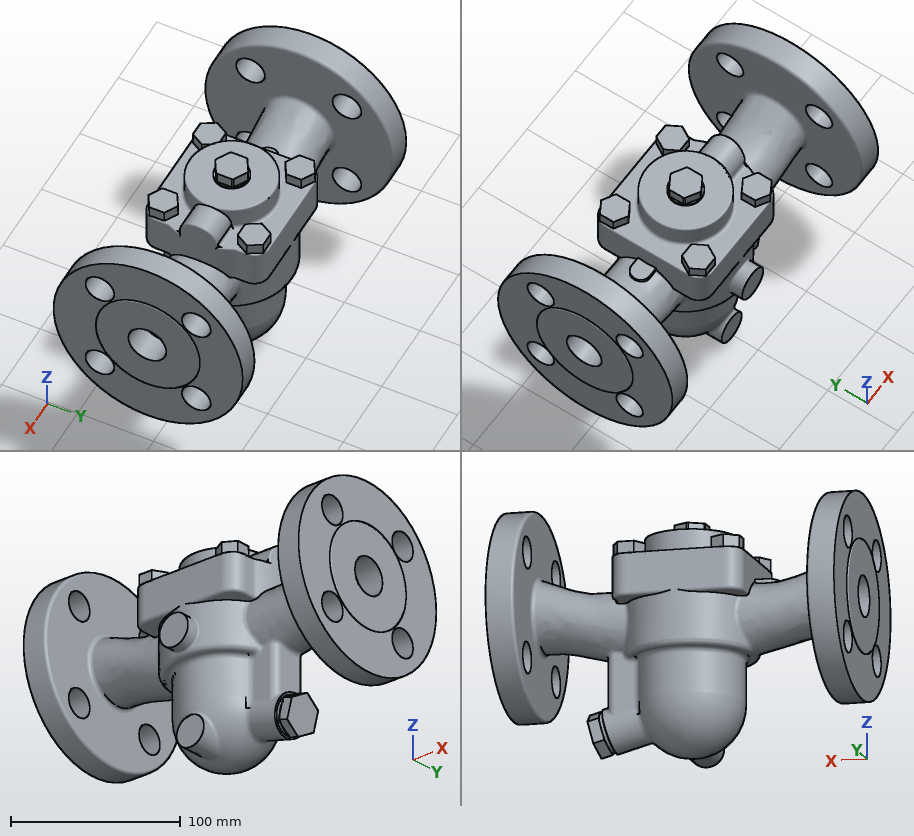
import cadquery as cq
import math


FACE_TO_FACE = 215.0
FLANGE_DIA = 125.0
FLANGE_THICKNESS = 18.0
FLANGE_BACK_FILLET = 2.0
RAISED_FACE_DIA = 68.5
RAISED_FACE_HEIGHT = 1.0
RAISED_FACE_FILLET = 0.5
BOLT_HOLE_COUNT = 4
BOLT_HOLE_DIA = 19.0
BOLT_CIRCLE_DIA = 90.0
FIRST_BOLT_HOLE_ANGLE = 45.0
BORE_DIA = 25.0
BORE_DEPTH = FLANGE_THICKNESS

FLANGE_FACE_X = FACE_TO_FACE / 2
FLANGE_BACK_X = FLANGE_FACE_X - FLANGE_THICKNESS

PIPE_WIDTH = 45.0
PIPE_SECTIONS = [
    (90.0, 22.0, -22.8),
    (74.0, 16.0, -23.0),
    (57.5, 11.5, -26.9),
    (40.0, 11.5, -31.0),
    (25.0, 11.5, -33.0),
]
NECK_FILLET = 2.5
PIPE_BODY_FILLET = 2.8

BODY_X = -2.5
CHAMBER_RADIUS = 40.0
CHAMBER_BOTTOM_Z = -31.5
BOWL_RADIUS = 32.0
BOTTOM_Z = -91.0
BOWL_CENTRE_Z = BOTTOM_Z + BOWL_RADIUS
STEP_EDGE_FILLET = 3.5
STEP_ROOT_FILLET = 3.0

PLATE_SIZE = 2 * CHAMBER_RADIUS
PLATE_CORNER_RADIUS = 10.0
BODY_PLATE_FILLET = 2.0
COVER_TOP_Z = 26.0
COVER_FILLET = 1.0
LOBE_RADIUS = 45.5
LOBE_CORNER_FILLET = 5.0

DOME_DIA = 56.0
DOME_TOP_Z = 41.0
DOME_EDGE_FILLET = 1.0
DOME_ROOT_FILLET = 2.0
PORT_DIA = 25.0
PORT_Z = 28.0
PORT_FILLET = 2.3
PORT_END_FILLET = 1.0

PLUG_WASHER_DIA = 22.0
PLUG_WASHER_TOP_Z = 42.0
PLUG_TOP_Z = 49.0
PLUG_FLATS = 19.0
PLUG_CORNER_DIA = 21.4
COVER_BOLT_OFFSET = 30.0
COVER_BOLT_FLATS = 17.0
COVER_BOLT_TOP_Z = 33.2

UPPER_BOSS = (22.0, -18.0, -48.0, 1.0)
LOWER_BOSS = (21.0, -78.8, -33.0, 2.5)

STRAINER_ANGLE = math.radians(15)
STRAINER_DIA = 28.0
STRAINER_LENGTH = 51.5
STRAINER_FILLET = 4.0
STRAINER_WASHER_DIA = 25.0
STRAINER_HEX_START = 54.0
STRAINER_HEX_END = 61.0
STRAINER_FLATS = 24.0

RIB_END_X = 46.4
RIB_WIDTH = 26.0
RIB_TOP_Z = -24.0
RIB_BOTTOM_Z = -66.0
RIB_FILLET = 5.0
RIB_FOOT_FILLET = 2.0
RIB_TOP_FILLET = 3.0

TAB_WIDTH = 13.0
TAB_END_X = -55.5
TAB_END_RADIUS = 6.4
TAB_TOP_Z = 12.8
TAB_BOTTOM_Z = 5.0

OVERLAP = 1.0
TOUCHING = 1e-3
NEARLY_UPRIGHT = 0.95


def lies_on(edge, solid):
    """Whether the middle of an edge lies on the skin of a solid."""
    middle = cq.Vertex.makeVertex(*edge.positionAt(0.5).toTuple())
    return any(middle.distance(face) < TOUCHING for face in solid.Faces())


def join_with_fillet(base, piece, radius):
    """Union of two pieces, with a fillet along the edges where their skins meet."""
    joined = base.union(piece, clean=False)
    meeting = joined.edges().filter(lambda e: lies_on(e, piece.val()) and lies_on(e, base.val()))
    return meeting.fillet(radius)


def disc(diameter, bottom_z, top_z):
    """Upright cylinder about the Z axis."""
    return cq.Workplane("XY").workplane(offset=bottom_z).circle(diameter / 2).extrude(top_z - bottom_z)


def hexagon_head(plane, flats, height):
    """Hexagonal prism with one corner along the plane's X direction."""
    return plane.polygon(6, flats / math.cos(math.pi / 6)).extrude(height)


def make_core():
    """Chamber and bowl turned about the body axis, with the step between them rounded."""
    core = (
        cq.Workplane("YZ")
        .moveTo(0, COVER_TOP_Z - OVERLAP)
        .lineTo(CHAMBER_RADIUS, COVER_TOP_Z - OVERLAP)
        .lineTo(CHAMBER_RADIUS, CHAMBER_BOTTOM_Z)
        .lineTo(BOWL_RADIUS, CHAMBER_BOTTOM_Z)
        .lineTo(BOWL_RADIUS, BOWL_CENTRE_Z)
        .radiusArc((0, BOTTOM_Z), BOWL_RADIUS)
        .close()
        .revolve(360, (0, 0, 0), (0, 1, 0))
    )

    def step_circle(radius):
        circles = core.edges("%CIRCLE")
        return circles.filter(
            lambda e: abs(e.radius() - radius) < TOUCHING
            and abs(e.Center().z - CHAMBER_BOTTOM_Z) < TOUCHING
        )

    core = step_circle(CHAMBER_RADIUS).fillet(STEP_EDGE_FILLET)
    core = step_circle(BOWL_RADIUS).fillet(STEP_ROOT_FILLET)
    return core.translate((BODY_X, 0, 0))


def make_boss(diameter, height_z, face_y):
    """Round boss running from the body's middle plane out to its face on the -Y side."""
    return cq.Workplane("XZ").center(BODY_X, height_z).circle(diameter / 2).extrude(-face_y)


def strainer_plane(distance):
    """Plane square to the strainer axis, at a distance from the centre of the bowl."""
    run = math.cos(STRAINER_ANGLE)
    drop = math.sin(STRAINER_ANGLE)
    origin = (BODY_X + distance * run, 0, BOWL_CENTRE_Z - distance * drop)
    return cq.Workplane(cq.Plane(origin=origin, xDir=(drop, 0, run), normal=(run, 0, -drop)))


def make_strainer_cap():
    """Washer and hexagon plug on the end of the strainer boss."""
    washer = strainer_plane(STRAINER_LENGTH - OVERLAP).circle(STRAINER_WASHER_DIA / 2)
    washer = washer.extrude(STRAINER_HEX_START - STRAINER_LENGTH + OVERLAP)
    hex_height = STRAINER_HEX_END - STRAINER_HEX_START
    return washer.union(hexagon_head(strainer_plane(STRAINER_HEX_START), STRAINER_FLATS, hex_height))


def rib_blend_lines():
    """X distances from the body axis to where the rib's side blends leave the wall and reach the rib."""
    blend_centre_radius = BOWL_RADIUS + RIB_FILLET
    blend_centre_y = RIB_WIDTH / 2 + RIB_FILLET
    blend_centre_x = math.sqrt(blend_centre_radius**2 - blend_centre_y**2)
    return blend_centre_x * BOWL_RADIUS / blend_centre_radius, blend_centre_x


def make_rib():
    """Upright rib with rounded outer corners, blended into the round wall of the bowl."""
    reach = RIB_END_X - BODY_X
    height = RIB_TOP_Z - RIB_BOTTOM_Z
    block = (
        cq.Workplane("XY")
        .workplane(offset=RIB_BOTTOM_Z)
        .center(reach / 2, 0)
        .rect(reach, RIB_WIDTH)
        .extrude(height)
        .edges("|Z and >X")
        .fillet(RIB_FILLET)
    )
    rib = disc(2 * BOWL_RADIUS, RIB_BOTTOM_Z, RIB_TOP_Z).union(block)
    wall_x = math.sqrt(BOWL_RADIUS**2 - (RIB_WIDTH / 2) ** 2)
    corners = rib.edges("|Z").filter(lambda e: abs(e.Center().x - wall_x) < TOUCHING)
    rib = corners.fillet(RIB_FILLET)
    wall_line, _ = rib_blend_lines()
    keep = cq.Workplane("XY").workplane(offset=RIB_BOTTOM_Z).center(wall_line + reach / 2, 0)
    return rib.intersect(keep.rect(reach, 2 * BOWL_RADIUS).extrude(height)).translate((BODY_X, 0, 0))


def add_rib(body):
    """Join the rib to the body, with fillets where it meets the strainer boss and the chamber."""
    rib = make_rib()
    joined = body.union(rib)

    def crossing_edges(is_above, nearest):
        """Edges where rib and body cross above or below the bowl's centre, beyond an X distance."""
        return joined.edges().filter(
            lambda e: is_above == (e.Center().z > BOWL_CENTRE_Z + RIB_FILLET)
            and e.Center().x > BODY_X + nearest
            and abs(e.tangentAt(0.5).z) < NEARLY_UPRIGHT
            and lies_on(e, rib.val())
            and lies_on(e, body.val())
        )

    wall_line, rib_line = rib_blend_lines()
    joined = crossing_edges(False, rib_line).fillet(RIB_FOOT_FILLET)
    return crossing_edges(True, wall_line).fillet(RIB_TOP_FILLET)


def make_pipe():
    """Bent neck of the +X side, lofted through its elliptical sections."""
    pipe = cq.Workplane("YZ")
    previous_x = 0
    for x, top_z, bottom_z in PIPE_SECTIONS:
        pipe = pipe.workplane(offset=x - previous_x).moveTo(0, (top_z + bottom_z) / 2)
        pipe = pipe.ellipse(PIPE_WIDTH / 2, (top_z - bottom_z) / 2)
        previous_x = x
    return pipe.loft()


def make_flange():
    """Flange of the +X side with its raised face and bolt holes."""
    back = cq.Workplane("YZ").workplane(offset=FLANGE_BACK_X)
    flange = back.circle(FLANGE_DIA / 2).extrude(FLANGE_THICKNESS - RAISED_FACE_HEIGHT)
    flange = flange.faces("<X").edges().fillet(FLANGE_BACK_FILLET)
    raised_face = back.circle(RAISED_FACE_DIA / 2).extrude(FLANGE_THICKNESS)
    raised_face = raised_face.faces(">X").edges().fillet(RAISED_FACE_FILLET)
    holes = (
        back.polarArray(BOLT_CIRCLE_DIA / 2, FIRST_BOLT_HOLE_ANGLE, 360, BOLT_HOLE_COUNT)
        .circle(BOLT_HOLE_DIA / 2)
        .extrude(FLANGE_THICKNESS)
    )
    return flange.union(raised_face).cut(holes)


def make_bore():
    """Blind bore of the +X flange, cut from its face."""
    bottom = cq.Workplane("YZ").workplane(offset=FLANGE_FACE_X - BORE_DEPTH)
    return bottom.circle(BORE_DIA / 2).extrude(BORE_DEPTH)


def plate_outline():
    """Prism of both plates: a rounded square with the lobe on its +X side."""
    square = cq.Workplane("XY").rect(PLATE_SIZE, PLATE_SIZE).extrude(COVER_TOP_Z)
    square = square.edges("|Z").fillet(PLATE_CORNER_RADIUS)
    half_chord = math.sqrt(LOBE_RADIUS**2 - CHAMBER_RADIUS**2)
    lobe = cq.Workplane("XY").center(LOBE_RADIUS / 2, 0).rect(LOBE_RADIUS, 2 * half_chord)
    lobe = lobe.extrude(COVER_TOP_Z)
    plates = square.union(lobe.intersect(disc(2 * LOBE_RADIUS, 0, COVER_TOP_Z)))
    inner_corners = plates.edges("|Z").filter(
        lambda e: e.Center().x > 0 and abs(abs(e.Center().y) - half_chord) < TOUCHING
    )
    return inner_corners.fillet(LOBE_CORNER_FILLET)


def make_port():
    """Round port from the dome out to the lobe, with concave blends down to the cover."""
    blend_y = math.sqrt(
        (PORT_DIA / 2 + PORT_FILLET) ** 2 - (COVER_TOP_Z + PORT_FILLET - PORT_Z) ** 2
    )
    blend_top_z = COVER_TOP_Z + PORT_FILLET
    blends = cq.Workplane("YZ").rect(2 * blend_y, 2 * blend_top_z).extrude(2 * LOBE_RADIUS)
    for side in (-1, 1):
        cutter = cq.Workplane("YZ").center(side * blend_y, blend_top_z)
        blends = blends.cut(cutter.circle(PORT_FILLET).extrude(2 * LOBE_RADIUS))
    blend_end_dia = 2 * (LOBE_RADIUS - PORT_END_FILLET)
    blends = blends.intersect(disc(blend_end_dia, COVER_TOP_Z - OVERLAP, DOME_TOP_Z))
    port = cq.Workplane("YZ").center(0, PORT_Z).circle(PORT_DIA / 2).extrude(2 * LOBE_RADIUS)
    port = port.intersect(disc(2 * LOBE_RADIUS, 0, DOME_TOP_Z)).edges(">X").fillet(PORT_END_FILLET)
    return port.union(blends)


def make_cover():
    """Both plates with the dome and the port, about the Z axis."""
    plates = plate_outline().faces("<Z").edges().fillet(BODY_PLATE_FILLET)
    plates = plates.faces(">Z").edges().fillet(COVER_FILLET)
    dome = disc(DOME_DIA, COVER_TOP_Z - OVERLAP, DOME_TOP_Z).faces(">Z").edges().fillet(DOME_EDGE_FILLET)
    return join_with_fillet(plates, dome, DOME_ROOT_FILLET).union(make_port())


def make_cover_bolt(side_x, side_y):
    """Hexagon bolt head in one corner of the cover; heads in adjacent corners are a quarter turn apart."""
    height = COVER_BOLT_TOP_Z - COVER_TOP_Z + OVERLAP
    turn = 0 if side_x == side_y else 90
    head = hexagon_head(cq.Workplane("XY"), COVER_BOLT_FLATS, height).rotate((0, 0, 0), (0, 0, 1), turn)
    return head.translate((side_x * COVER_BOLT_OFFSET, side_y * COVER_BOLT_OFFSET, COVER_TOP_Z - OVERLAP))


def make_top_plug():
    """Washer and hexagon plug with blunted corners on top of the dome."""
    base = cq.Workplane("XY").workplane(offset=DOME_TOP_Z)
    plug = hexagon_head(base, PLUG_FLATS, PLUG_TOP_Z - DOME_TOP_Z).rotate((0, 0, 0), (0, 0, 1), 90)
    plug = plug.intersect(disc(PLUG_CORNER_DIA, DOME_TOP_Z, PLUG_TOP_Z))
    return disc(PLUG_WASHER_DIA, DOME_TOP_Z - OVERLAP, PLUG_WASHER_TOP_Z).union(plug)


def make_tab():
    """Small tab on the -X pipe, its straight end buried in the chamber."""
    length = BODY_X - CHAMBER_RADIUS + TAB_WIDTH - TAB_END_X
    tab = cq.Workplane("XY").workplane(offset=TAB_BOTTOM_Z).center(TAB_END_X + length / 2, 0)
    tab = tab.rect(length, TAB_WIDTH).extrude(TAB_TOP_Z - TAB_BOTTOM_Z)
    return tab.edges("|Z and <X").fillet(TAB_END_RADIUS)


body = make_core()
plus_x_arm = join_with_fillet(make_flange(), make_pipe(), NECK_FILLET)
for arm in (plus_x_arm, plus_x_arm.mirror("YZ")):
    body = join_with_fillet(body, arm, PIPE_BODY_FILLET)
for diameter, height_z, face_y, root_fillet in (UPPER_BOSS, LOWER_BOSS):
    body = join_with_fillet(body, make_boss(diameter, height_z, face_y), root_fillet)
strainer_boss = strainer_plane(0).circle(STRAINER_DIA / 2).extrude(STRAINER_LENGTH)
body = join_with_fillet(body, strainer_boss, STRAINER_FILLET)
body = add_rib(body)
body = body.union(make_strainer_cap())
for bore in (make_bore(), make_bore().mirror("YZ")):
    body = body.cut(bore)
body = body.union(make_tab())

cover = make_cover().union(make_top_plug())
for side_x in (-1, 1):
    for side_y in (-1, 1):
        cover = cover.union(make_cover_bolt(side_x, side_y))

result = body.union(cover.translate((BODY_X, 0, 0)))